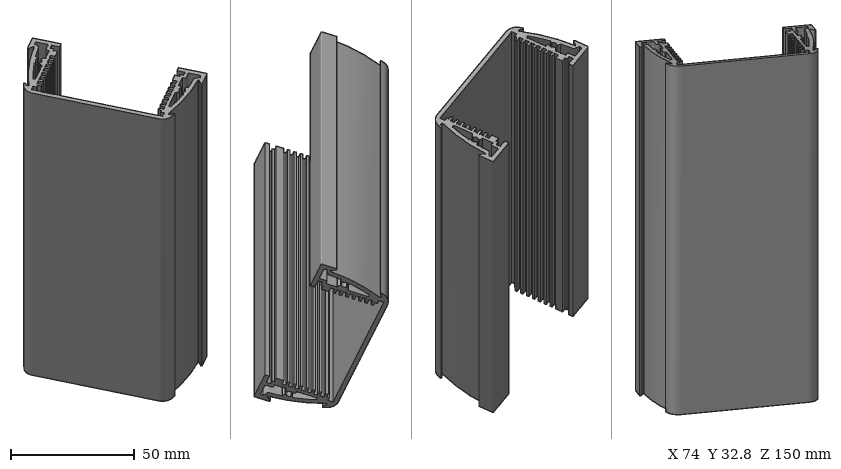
import cadquery as cq
import math

WIDTH = 74.0
DEPTH = 32.8
LENGTH = 150.0

HALF_WIDTH = WIDTH / 2
HALF_DEPTH = DEPTH / 2


FLANGE_WIDTH = 12.2
FLANGE_THICKNESS = 2.0
WEB_THICKNESS = 2.0
CORNER_RADIUS = 0.5
WEB_TOP = DEPTH - WEB_THICKNESS

LIP_THICKNESS = 2.0
LIP_DROP = 7.0
LIP_TIP_INSET = 0.45
LIP_SIDE_DROP = 6.7
NOTCH_DROP = 4.9

SKIN_RADIUS = 72.0
SKIN_THICKNESS = 1.9
SKIN_CENTRE_INSET = 74.2
SKIN_CENTRE_DROP = 1.5
SKIN_END_DROP = 27.9

WALL_OUTER = 8.8
WALL_INNER = 10.25
NECK_THICKNESS = 1.5
NECK_OUTER = WALL_OUTER - NECK_THICKNESS
NECK_END_DROP = 5.5
SHOULDER_DROP = 3.9

BLOCK_TOP = 4.9
FIN_COUNT = 7
FIN_PITCH = 2.76
FIN_THICKNESS = 1.1
FIRST_FIN_TOP = 9.85
LAST_FIN_TOP = FIRST_FIN_TOP + (FIN_COUNT - 1) * FIN_PITCH
FIN_GAP = FIN_PITCH - FIN_THICKNESS
BLOCK_BOTTOM = FIRST_FIN_TOP - FIN_GAP

FOOT_BOTTOM = 28.6
FOOT_OUTER = 9.2
FOOT_INNER = 10.75

CAVITY_SHOULDER_START = 3.2
CAVITY_SHOULDER_END = 4.6
CAVITY_BOTTOM = 24.1
CAVITY_CORNER_RADIUS = 0.5

CHANNEL_INSET = 6.6
CHANNEL_DROP = 12.75
CHANNEL_RADIUS = 1.3
CHANNEL_SLOT = 1.5
RIB_LENGTH = 4.7
RIB_BEVEL = 0.9
RIB_SKIN_INSET = 4.6

HOOK_TIP_INSET = 5.0
HOOK_TIP_DROP = 27.8
HOOK_TIP_WIDTH = 0.9
HOOK_ARC_INSET = 5.7
HOOK_ARC_DROP = 29.8
WEB_FLAT_INSET = 10.25
HOOK_POCKET_BOTTOM = 28.8
HOOK_POCKET_OUTER = 6.5
HOOK_POCKET_INNER = 7.3


def at(inset, drop):
    """Point of the section from its inset and drop."""
    return (inset - HALF_WIDTH, HALF_DEPTH - drop)


def on_skin(radius, drop):
    """Point at the given drop on an arc of the curved wall."""
    rise = drop - SKIN_CENTRE_DROP
    inset = SKIN_CENTRE_INSET - math.sqrt(radius**2 - rise**2)
    return at(inset, drop)


def box(inset_from, inset_to, drop_from, drop_to):
    """Bar along the whole length with a rectangular section."""
    left, top = at(inset_from, drop_from)
    right, bottom = at(inset_to, drop_to)
    return (
        cq.Workplane("XY")
        .moveTo(left, top)
        .lineTo(right, top)
        .lineTo(right, bottom)
        .lineTo(left, bottom)
        .close()
        .extrude(LENGTH)
    )


def round_corner(body, corner, radius):
    """Fillet the lengthwise edge that passes through a corner of the section."""
    edge = cq.selectors.NearestToPointSelector((*corner, LENGTH / 2))
    return body.edges(edge).fillet(radius)


def side_body():
    """Left half of the section without the cavity and fins, cut off at the centre plane."""
    body = (
        cq.Workplane("XY")
        .moveTo(*at(0, 0))
        .lineTo(*at(FLANGE_WIDTH, 0))
        .lineTo(*at(FLANGE_WIDTH, FLANGE_THICKNESS))
        .lineTo(*at(WALL_OUTER, FLANGE_THICKNESS))
        .lineTo(*at(WALL_OUTER, SHOULDER_DROP))
        .lineTo(*at(WALL_INNER, SHOULDER_DROP))
        .lineTo(*at(WALL_INNER, LAST_FIN_TOP))
        .lineTo(*at(FOOT_INNER, LAST_FIN_TOP))
        .lineTo(*at(FOOT_INNER, FOOT_BOTTOM))
        .lineTo(*at(FOOT_OUTER, FOOT_BOTTOM))
        .lineTo(*at(FOOT_OUTER, WEB_TOP))
        .lineTo(*at(HALF_WIDTH, WEB_TOP))
        .lineTo(*at(HALF_WIDTH, DEPTH))
        .lineTo(*at(WEB_FLAT_INSET, DEPTH))
        .tangentArcPoint(at(HOOK_ARC_INSET, HOOK_ARC_DROP), relative=False)
        .lineTo(*at(HOOK_TIP_INSET, HOOK_TIP_DROP))
        .lineTo(*at(HOOK_TIP_INSET + HOOK_TIP_WIDTH, HOOK_TIP_DROP))
        .lineTo(*at(HOOK_POCKET_OUTER, HOOK_POCKET_BOTTOM))
        .lineTo(*at(HOOK_POCKET_INNER, HOOK_POCKET_BOTTOM))
        .lineTo(*on_skin(SKIN_RADIUS, SKIN_END_DROP))
        .threePointArc(
            on_skin(SKIN_RADIUS, (NOTCH_DROP + SKIN_END_DROP) / 2),
            on_skin(SKIN_RADIUS, NOTCH_DROP),
        )
        .lineTo(*at(LIP_THICKNESS, NOTCH_DROP))
        .lineTo(*at(LIP_TIP_INSET, LIP_DROP))
        .lineTo(*at(0, LIP_SIDE_DROP))
        .close()
        .extrude(LENGTH)
    )
    return round_corner(body, at(0, 0), CORNER_RADIUS)


def cavity():
    """Hollow between the curved skin and the straight wall."""
    inner_radius = SKIN_RADIUS - SKIN_THICKNESS
    hollow = (
        cq.Workplane("XY")
        .moveTo(*at(LIP_THICKNESS, FLANGE_THICKNESS))
        .lineTo(*at(NECK_OUTER, FLANGE_THICKNESS))
        .lineTo(*at(NECK_OUTER, NECK_END_DROP))
        .lineTo(*at(WALL_OUTER, NECK_END_DROP))
        .lineTo(*at(WALL_OUTER, CAVITY_BOTTOM))
        .lineTo(*on_skin(inner_radius, CAVITY_BOTTOM))
        .threePointArc(
            on_skin(inner_radius, (CAVITY_BOTTOM + CAVITY_SHOULDER_END) / 2),
            on_skin(inner_radius, CAVITY_SHOULDER_END),
        )
        .lineTo(*at(LIP_THICKNESS, CAVITY_SHOULDER_START))
        .close()
        .extrude(LENGTH)
    )
    rounded_corners = [
        at(LIP_THICKNESS, FLANGE_THICKNESS),
        at(NECK_OUTER, FLANGE_THICKNESS),
        at(NECK_OUTER, NECK_END_DROP),
        at(WALL_OUTER, CAVITY_BOTTOM),
        on_skin(inner_radius, CAVITY_SHOULDER_END),
    ]
    for corner in rounded_corners:
        hollow = round_corner(hollow, corner, CAVITY_CORNER_RADIUS)
    return hollow


def screw_channel():
    """Two ribs standing on the skin and the wall, grooved by a common round hole."""
    half_slot = CHANNEL_SLOT / 2
    rib_top = CHANNEL_DROP - RIB_LENGTH / 2
    rib_bottom = CHANNEL_DROP + RIB_LENGTH / 2
    outer_rib = box(RIB_SKIN_INSET, CHANNEL_INSET - half_slot, rib_top, rib_bottom)
    outer_rib = outer_rib.faces(">X").edges("|Z").chamfer(RIB_BEVEL)
    inner_rib = box(CHANNEL_INSET + half_slot, WALL_INNER, rib_top, rib_bottom)
    inner_rib = inner_rib.faces("<X").edges("|Z").chamfer(RIB_BEVEL)
    hole = (
        cq.Workplane("XY")
        .center(*at(CHANNEL_INSET, CHANNEL_DROP))
        .circle(CHANNEL_RADIUS)
        .extrude(LENGTH)
    )
    return outer_rib.union(inner_rib).cut(hole)


def add_fins(body):
    """End block and evenly spaced fins on the inside of the straight wall."""
    body = body.union(box(WALL_OUTER, FLANGE_WIDTH, BLOCK_TOP, BLOCK_BOTTOM))
    for index in range(FIN_COUNT):
        top = FIRST_FIN_TOP + index * FIN_PITCH
        body = body.union(box(WALL_OUTER, FLANGE_WIDTH, top, top + FIN_THICKNESS))
    return body


left_half = add_fins(side_body().cut(cavity().cut(screw_channel())))
result = left_half.union(left_half.mirror("YZ")).clean()